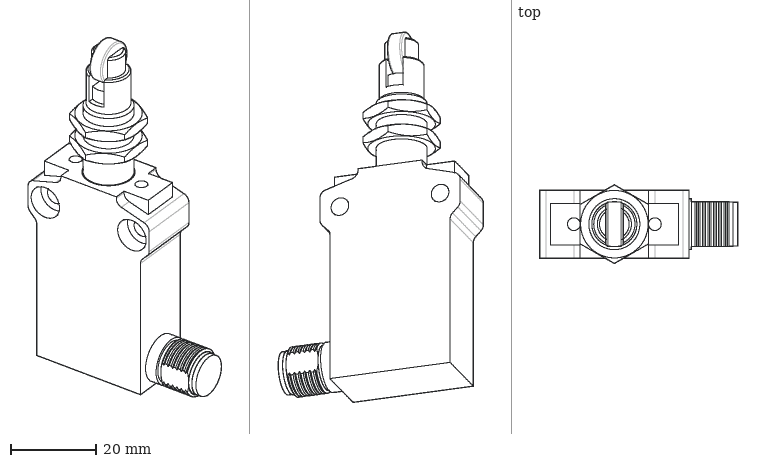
import cadquery as cq
import math


body_width = 30.0
body_half_width = body_width / 2
body_depth = 16.0
body_height = 52.1
ear_half_width = 17.5
ear_top_z = 47.4
ear_bottom_z = 39.6
shoulder_half_width = 8.0
shoulder_angle = 16
outline_radius = 2.0
pad_depth = 9.8

mount_x = 12.5
mount_z = 43.1
mount_hole_diameter = 4.4
mount_bore_diameter = 8.2
mount_bore_depth = 4.0
top_hole_x = 9.5
top_hole_diameter = 3.0
top_hole_depth = 5.3

connector_z = 6.25
flange_diameter = 12.0
flange_end_x = 18.0
neck_diameter = 10.6
grip_diameter = 12.0
grip_end_diameter = 10.7
grip_start_x = 18.9
grip_end_x = 26.9
grip_chamfer_length = 0.35
grip_across_flats = 10.6
groove_count = 6
groove_span = 6.3
groove_pitch = groove_span / (groove_count - 1)
groove_width = 0.7
groove_depth = 0.22
tail_diameter = 10.5
tail_end_x = 27.8
tip_diameter = 10.3
tip_end_x = 28.95

bushing_diameter = 12.0
bushing_top_z = 71.2
bushing_chamfer = 0.7
collar_diameter = 12.5
collar_depth = 1.8

sleeve_diameter = 10.6
sleeve_top_z = 80.4
sleeve_chamfer = 0.4
sleeve_slot_floor_z = 73.1
core_diameter = 8.0
core_top_z = 85.8
core_chamfer = 0.5
core_slot_floor_z = 76.65
slot_width = 4.2

roller_top_z = 88.0
roller_diameter = 10.5
roller_width = 3.5
roller_edge_radius = 0.35

nut_across_flats = 16.0
nut_across_corners = nut_across_flats / math.cos(math.radians(30))
nut_height = 3.0
nut_bottom_heights = (59.1, 65.3)
nut_face_diameter = 15.8
nut_chamfer_angle = 30


def upright_cylinder(diameter, bottom_z, top_z):
    return cq.Workplane("XY", origin=(0, 0, bottom_z)).circle(diameter / 2).extrude(top_z - bottom_z)


def connector_stage(diameter, start_x, end_x):
    plane = cq.Workplane("YZ", origin=(start_x, 0, connector_z))
    return plane.circle(diameter / 2).extrude(end_x - start_x)


def make_eared_body():
    """Block with rounded mounting ears, sloping shoulders and a raised pad on top."""
    shoulder_rise = (ear_half_width - shoulder_half_width) * math.tan(math.radians(shoulder_angle))
    shoulder_z = ear_top_z + shoulder_rise
    ear_root_z = ear_bottom_z - (ear_half_width - body_half_width)
    right_side = [
        (body_half_width, 0),
        (body_half_width, ear_root_z),
        (ear_half_width, ear_bottom_z),
        (ear_half_width, ear_top_z),
        (shoulder_half_width, shoulder_z),
        (shoulder_half_width, body_height),
    ]
    left_side = [(-x, z) for x, z in reversed(right_side)]
    rounded_corners = cq.selectors.BoxSelector(
        (-2 * ear_half_width, -body_depth, ear_root_z / 2),
        (2 * ear_half_width, body_depth, (shoulder_z + body_height) / 2),
    )
    block = (
        cq.Workplane("XZ", origin=(0, body_depth / 2, 0))
        .polyline(right_side + left_side)
        .close()
        .extrude(body_depth)
        .edges("|Y")
        .edges(rounded_corners)
        .fillet(outline_radius)
    )
    pad = cq.Workplane("XY").rect(body_width, pad_depth).extrude(body_height)
    return block.union(pad)


def make_grip():
    """Ring with chamfered ends, V-grooves around it and two flats facing -Y and +Y."""
    radius = grip_diameter / 2
    end_radius = grip_end_diameter / 2
    middle_x = (grip_start_x + grip_end_x) / 2
    profile = [
        (grip_start_x, 0),
        (grip_start_x, end_radius),
        (grip_start_x + grip_chamfer_length, radius),
    ]
    for i in range(groove_count):
        groove_x = middle_x - groove_span / 2 + i * groove_pitch
        profile += [
            (groove_x - groove_width / 2, radius),
            (groove_x, radius - groove_depth),
            (groove_x + groove_width / 2, radius),
        ]
    profile += [
        (grip_end_x - grip_chamfer_length, radius),
        (grip_end_x, end_radius),
        (grip_end_x, 0),
    ]
    ring = cq.Workplane("XY").polyline(profile).close().revolve(360, (0, 0, 0), (1, 0, 0))
    flats = cq.Workplane("XY").box(grip_end_x - grip_start_x, grip_across_flats, grip_diameter)
    return ring.intersect(flats.translate((middle_x, 0, 0))).translate((0, 0, connector_z))


def make_connector():
    return (
        connector_stage(flange_diameter, body_half_width, flange_end_x)
        .union(connector_stage(neck_diameter, flange_end_x, grip_start_x))
        .union(make_grip())
        .union(connector_stage(tail_diameter, grip_end_x, tail_end_x))
        .union(connector_stage(tip_diameter, tail_end_x, tip_end_x))
    )


def make_housing():
    housing = make_eared_body().union(make_connector())
    for x in (-mount_x, mount_x):
        front = cq.Workplane("XZ", origin=(x, -body_depth / 2, mount_z))
        housing = housing.cut(front.circle(mount_hole_diameter / 2).extrude(-body_depth))
        housing = housing.cut(front.circle(mount_bore_diameter / 2).extrude(-mount_bore_depth))
    for x in (-top_hole_x, top_hole_x):
        hole = upright_cylinder(top_hole_diameter, body_height - top_hole_depth, body_height)
        housing = housing.cut(hole.translate((x, 0, 0)))
    collar_seat = upright_cylinder(collar_diameter, body_height - collar_depth, body_height)
    return housing.cut(collar_seat)


def make_bushing():
    barrel = upright_cylinder(bushing_diameter, body_height, bushing_top_z)
    barrel = barrel.faces(">Z").chamfer(bushing_chamfer)
    collar = upright_cylinder(collar_diameter, body_height - collar_depth, body_height)
    return barrel.union(collar)


def slotted_post(diameter, top_z, chamfer, slot_floor_z):
    """Chamfered post on the bushing, with the roller slot cut along Y down to the slot floor."""
    post = upright_cylinder(diameter, bushing_top_z, top_z).faces(">Z").chamfer(chamfer)
    slot = (
        cq.Workplane("XY", origin=(0, 0, slot_floor_z))
        .rect(slot_width, 2 * diameter)
        .extrude(top_z - slot_floor_z)
    )
    return post.cut(slot)


def make_plunger():
    core_space = upright_cylinder(core_diameter, bushing_top_z, sleeve_top_z)
    sleeve = slotted_post(sleeve_diameter, sleeve_top_z, sleeve_chamfer, sleeve_slot_floor_z).cut(core_space)
    core = slotted_post(core_diameter, core_top_z, core_chamfer, core_slot_floor_z)
    return sleeve.union(core)


def make_roller():
    plane = cq.Workplane("YZ", origin=(-roller_width / 2, 0, roller_top_z - roller_diameter / 2))
    wheel = plane.circle(roller_diameter / 2).extrude(roller_width)
    return wheel.faces("<X or >X").edges().fillet(roller_edge_radius)


def make_nut(bottom_z):
    """Hexagon nut with corners pointing along Y, chamfered by a cone on both faces."""
    face_radius = nut_face_diameter / 2
    rim_radius = nut_across_corners / 2
    chamfer_height = (rim_radius - face_radius) * math.tan(math.radians(nut_chamfer_angle))
    profile = [
        (0, 0),
        (face_radius, 0),
        (rim_radius, chamfer_height),
        (rim_radius, nut_height - chamfer_height),
        (face_radius, nut_height),
        (0, nut_height),
    ]
    chamfered_disc = cq.Workplane("XZ").polyline(profile).close().revolve(360, (0, 0, 0), (0, 1, 0))
    hexagon = cq.Workplane("XY").polygon(6, nut_across_corners).extrude(nut_height)
    hexagon = hexagon.rotate((0, 0, 0), (0, 0, 1), 30)
    bore = upright_cylinder(bushing_diameter, 0, nut_height)
    return hexagon.intersect(chamfered_disc).cut(bore).translate((0, 0, bottom_z))


housing = make_housing()
bushing = make_bushing()
plunger = make_plunger()
roller = make_roller()
nuts = [make_nut(bottom_z) for bottom_z in nut_bottom_heights]

result = cq.Compound.makeCompound(
    [housing.val(), bushing.val(), plunger.val(), roller.val(), *[nut.val() for nut in nuts]]
)